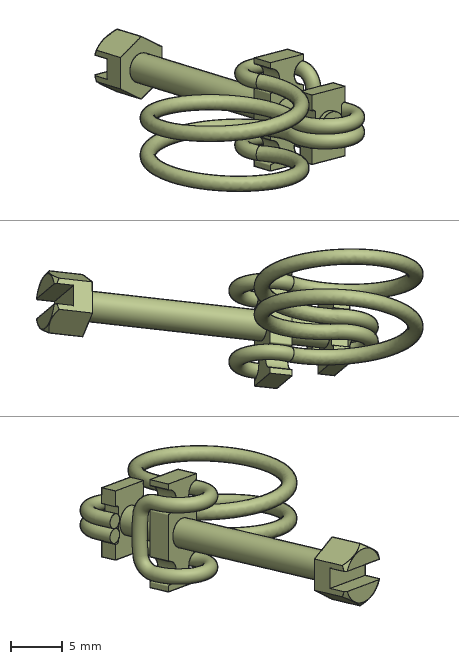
import cadquery as cq
import math


OVERALL_LENGTH = 34.93

HEAD_LENGTH = 3.88
HEAD_FLATS = 5.52
HEAD_CORNERS = HEAD_FLATS / math.cos(math.pi / 6)
HEAD_FACE_RADIUS = 2.72
HEAD_CHAMFER_LENGTH = 0.42
SLOT_WIDTH = 2.05
SLOT_DEPTH = HEAD_LENGTH / 2
SHANK_RADIUS = 1.5
BOLT_LENGTH = 31.25

WIRE_RADIUS = 0.75
HOOK_RADIUS = 3.1
HOOK_Y = -0.1
RING_RADIUS = 7.48
RING_X = OVERALL_LENGTH - RING_RADIUS - WIRE_RADIUS
HOOK_OFFSET = 3.65
LEFT_HOOK_X = RING_X - HOOK_OFFSET
RIGHT_HOOK_X = RING_X + HOOK_OFFSET
INNER_Z = WIRE_RADIUS
OUTER_Z = 3.65
HOOK_TOP_Y = HOOK_Y + HOOK_RADIUS
TAIL_END_X = 28.47
BEND_START_X = 23.55
BEND_RADIUS = 1.75
BEND_SWEEP = math.radians(82)

CENTRE_DISTANCE = HOOK_RADIUS + RING_RADIUS
RING_Y = HOOK_Y - math.sqrt(CENTRE_DISTANCE**2 - HOOK_OFFSET**2)
JOINT_ANGLE = math.asin(HOOK_OFFSET / CENTRE_DISTANCE)
COIL_SWEEP = 2 * math.pi + 2 * JOINT_ANGLE

SADDLE_WIDTH = 4.4
LEFT_SADDLE_X = 22.45
LEFT_SADDLE_THICKNESS = 2.3
LEFT_SADDLE_HEIGHT = 11.0
GROOVE_RADIUS = 1.22
GROOVE_LIP_FILLET = 0.15
RIGHT_SADDLE_X = 29.03
RIGHT_SADDLE_THICKNESS = 1.7
RIGHT_SADDLE_HEIGHT = 7.05
RECESS_HEIGHT = 3.85
RECESS_DEPTH = 0.5
RECESS_FILLET = 0.3


def make_bolt():
    """Slotted hexagon head with a conical chamfer, and a plain round shank."""
    hexagon = cq.Workplane("YZ").polygon(6, HEAD_CORNERS).extrude(HEAD_LENGTH)
    hexagon = hexagon.rotate((0, 0, 0), (1, 0, 0), 90)
    corner_radius = HEAD_CORNERS / 2
    chamfer_envelope = (
        cq.Workplane("XY")
        .polyline(
            [
                (0, 0),
                (0, HEAD_FACE_RADIUS),
                (HEAD_CHAMFER_LENGTH, corner_radius),
                (HEAD_LENGTH, corner_radius),
                (HEAD_LENGTH, 0),
            ]
        )
        .close()
        .revolve(360, (0, 0, 0), (1, 0, 0))
    )
    slot = cq.Workplane("XY").box(2 * SLOT_DEPTH, HEAD_CORNERS, SLOT_WIDTH)
    shank = (
        cq.Workplane("YZ", origin=(HEAD_LENGTH, 0, 0))
        .circle(SHANK_RADIUS)
        .extrude(BOLT_LENGTH - HEAD_LENGTH)
    )
    return hexagon.intersect(chamfer_envelope).cut(slot).union(shank)


def hook_arc(centre_x, z, start_angle, end_angle):
    """Arc of a hook's centre line in a level plane, between two angles measured from +X."""

    def point(angle):
        x = centre_x + HOOK_RADIUS * math.cos(angle)
        y = HOOK_Y + HOOK_RADIUS * math.sin(angle)
        return cq.Vector(x, y, z)

    middle_angle = (start_angle + end_angle) / 2
    return cq.Edge.makeThreePointArc(point(start_angle), point(middle_angle), point(end_angle))


def sweep_wire(edges):
    """Round wire along a chain of edges, with its first end face square to the path."""
    path = cq.Wire.assembleEdges(edges)
    start_plane = cq.Plane(edges[0].startPoint(), normal=edges[0].tangentAt(0))
    return cq.Workplane(start_plane).circle(WIRE_RADIUS).sweep(cq.Workplane(path))


def make_upper_coil():
    """One turn of helix from the inner to the outer level, with the right-hand hook and its tail."""
    rise = OUTER_Z - INNER_Z
    helix = cq.Wire.makeHelix(rise * 2 * math.pi / COIL_SWEEP, rise, RING_RADIUS)
    turn = (
        cq.Workplane("XZ", origin=(RING_RADIUS, 0, 0))
        .circle(WIRE_RADIUS)
        .sweep(cq.Workplane(helix), isFrenet=True)
        .rotate((0, 0, 0), (0, 0, 1), 90 - math.degrees(JOINT_ANGLE))
        .translate((RING_X, RING_Y, INNER_Z))
    )
    hook = hook_arc(RIGHT_HOOK_X, INNER_Z, math.pi / 2, -math.pi / 2 - JOINT_ANGLE)
    tail = cq.Edge.makeLine(cq.Vector(TAIL_END_X, HOOK_TOP_Y, INNER_Z), hook.startPoint())
    return turn.union(sweep_wire([tail, hook]))


def make_loop():
    """Left-hand hooks of both wires, joined behind the saddle by a slightly bowed bridge."""
    bend_end_x = BEND_START_X + BEND_RADIUS * math.sin(BEND_SWEEP)
    bend_end_z = OUTER_Z - BEND_RADIUS * (1 - math.cos(BEND_SWEEP))
    bridge_radius = bend_end_z / math.cos(BEND_SWEEP)
    bridge_middle_x = bend_end_x + bridge_radius * (1 - math.sin(BEND_SWEEP))

    def back_point(x, z):
        return cq.Vector(x, HOOK_TOP_Y, z)

    def bend(side):
        """Bend from the straight run to the bridge; side is 1 for the upper one and -1 for the lower."""
        middle_x = BEND_START_X + BEND_RADIUS * math.sin(BEND_SWEEP / 2)
        middle_z = OUTER_Z - BEND_RADIUS * (1 - math.cos(BEND_SWEEP / 2))
        points = [
            back_point(BEND_START_X, side * OUTER_Z),
            back_point(middle_x, side * middle_z),
            back_point(bend_end_x, side * bend_end_z),
        ]
        return cq.Edge.makeThreePointArc(*(points if side > 0 else reversed(points)))

    joint = -math.pi / 2 + JOINT_ANGLE
    back = -3 * math.pi / 2
    upper_hook = hook_arc(LEFT_HOOK_X, OUTER_Z, joint, back)
    lower_hook = hook_arc(LEFT_HOOK_X, -OUTER_Z, back, joint)
    bridge = cq.Edge.makeThreePointArc(
        back_point(bend_end_x, bend_end_z),
        back_point(bridge_middle_x, 0),
        back_point(bend_end_x, -bend_end_z),
    )
    return sweep_wire(
        [
            upper_hook,
            cq.Edge.makeLine(upper_hook.endPoint(), back_point(BEND_START_X, OUTER_Z)),
            bend(1),
            bridge,
            bend(-1),
            cq.Edge.makeLine(back_point(BEND_START_X, -OUTER_Z), lower_hook.startPoint()),
            lower_hook,
        ]
    )


def make_saddle_block(start_x, thickness, height):
    """Rectangular block with a bore that fits the bolt shank."""
    face = cq.Workplane("YZ", origin=(start_x, 0, 0))
    block = face.rect(SADDLE_WIDTH, height).extrude(thickness)
    return block.cut(face.circle(SHANK_RADIUS).extrude(thickness))


def is_groove_lip(edge):
    """True for an edge that is not at the top or bottom of the left saddle."""
    return abs(edge.Center().z) < LEFT_SADDLE_HEIGHT / 2 - GROOVE_LIP_FILLET


def make_left_saddle():
    """Tall saddle with a round groove, its lips rounded, in each side at each outer strand."""
    half_width = SADDLE_WIDTH / 2
    groove_centres = [(y, z) for y in (-half_width, half_width) for z in (-OUTER_Z, OUTER_Z)]
    grooves = (
        cq.Workplane("YZ", origin=(LEFT_SADDLE_X, 0, 0))
        .pushPoints(groove_centres)
        .circle(GROOVE_RADIUS)
        .extrude(LEFT_SADDLE_THICKNESS)
    )
    block = make_saddle_block(LEFT_SADDLE_X, LEFT_SADDLE_THICKNESS, LEFT_SADDLE_HEIGHT).cut(grooves)
    lips = block.faces("|Y").edges("|X").filter(is_groove_lip)
    return lips.fillet(GROOVE_LIP_FILLET)


def make_right_saddle():
    """Short saddle with one flat-bottomed recess in each side for the two inner strands."""
    recesses = (
        cq.Workplane("YZ", origin=(RIGHT_SADDLE_X, 0, 0))
        .pushPoints([(-SADDLE_WIDTH / 2, 0), (SADDLE_WIDTH / 2, 0)])
        .rect(2 * RECESS_DEPTH, RECESS_HEIGHT)
        .extrude(RIGHT_SADDLE_THICKNESS)
        .edges("|X")
        .fillet(RECESS_FILLET)
    )
    return make_saddle_block(RIGHT_SADDLE_X, RIGHT_SADDLE_THICKNESS, RIGHT_SADDLE_HEIGHT).cut(recesses)


bolt = make_bolt()
upper_coil = make_upper_coil()
lower_coil = upper_coil.mirror("XY")
coils = [upper_coil, lower_coil]
loop = make_loop()

saddles = [make_left_saddle(), make_right_saddle()]
for coil in coils:
    saddles = [saddle.cut(coil) for saddle in saddles]

result = cq.Compound.makeCompound(
    [bolt.val(), loop.val()]
    + [coil.val() for coil in coils]
    + [saddle.val() for saddle in saddles]
)